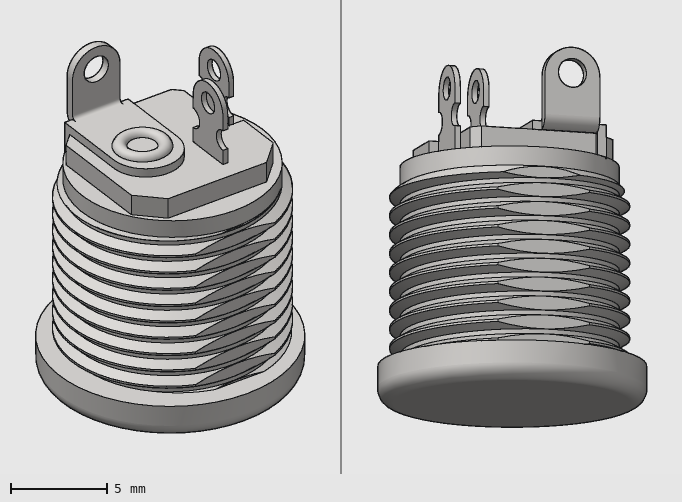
import cadquery as cq
import math

overlap = 0.09

flange_diameter = 14.0
flange_height = 2.0
flange_fillet = 0.78

barrel_y = 0.15
barrel_top = 12.5
core_radius = 5.7
crest_radius = 6.25
flat_half_width = 5.72
thread_length = 9.5
thread_turns = 9.5
thread_top = flange_height + thread_length
pitch = thread_length / thread_turns
crest_width = pitch / 8
ridge_flank_angle = math.radians(30)

block_left = -4.35
block_right = 4.35
block_front = -4.52
block_back = 4.45
block_top = 13.7
block_step_x = 0.27
block_step_y = 3.57
block_large_chamfer = 1.38
block_small_chamfer = 0.47

contact_y = -1.75
pad_left = -4.2
pad_end_x = 0.29
pad_radius = 2.01
pad_top = 14.2
rivet_ring_radius = 1.2
rivet_bead_radius = 0.4
rivet_top = 14.53

bent_lug_thickness = 0.5
bent_lug_width = 3.0
bent_lug_bend_radius = 0.25
bent_lug_top = 18.1
bent_lug_hole_radius = 0.76
bent_lug_hole_z = 16.75

lug_width = 2.72
lug_thickness = 0.3
lug_hole_radius = 0.6
lug_notch_radius = 0.6
lug_top_to_hole = 1.21
lug_top_to_notch = 2.82
inner_lug_x = 1.86
inner_lug_y = 1.25
inner_lug_top = 18.0
rear_lug_x = -1.38
rear_lug_y = 3.87
rear_lug_drop = 0.6
rear_lug_top = inner_lug_top - rear_lug_drop
rear_lug_foot_fillet = 0.16


def make_flange():
    flange = cq.Workplane("XY").circle(flange_diameter / 2).extrude(flange_height)
    return flange.faces("<Z").edges().fillet(flange_fillet)


def make_thread_ridge():
    """Right-handed helical ridge whose crest leaves the flange top on the +Y side."""
    hidden_turns = 1
    start_z = flange_height - hidden_turns * pitch
    turns = math.ceil(thread_turns) + hidden_turns
    root_radius = core_radius - overlap
    crest_half = crest_width / 2
    root_half = crest_half + (crest_radius - root_radius) * math.tan(ridge_flank_angle)
    section = (
        cq.Workplane("XZ")
        .moveTo(root_radius, -root_half)
        .lineTo(crest_radius, -crest_half)
        .lineTo(crest_radius, crest_half)
        .lineTo(root_radius, root_half)
        .close()
    )
    helix = cq.Wire.makeHelix(pitch, turns * pitch, core_radius)
    ridge = section.sweep(cq.Workplane(obj=helix), isFrenet=True)
    return ridge.rotate((0, 0, 0), (0, 0, 1), 90).translate((0, 0, start_z))


def make_barrel():
    """Core cylinder with a thread that runs out in a 45 degree chamfer and has two side flats."""
    base_z = flange_height / 2
    envelope_radius = flange_diameter / 2
    envelope = (
        cq.Workplane("XZ")
        .moveTo(0, base_z)
        .lineTo(envelope_radius, base_z)
        .lineTo(envelope_radius, thread_top - (envelope_radius - core_radius))
        .lineTo(core_radius, thread_top)
        .lineTo(0, thread_top)
        .close()
        .revolve(360, (0, 0, 0), (0, 1, 0))
    )
    flats = cq.Workplane("XY").box(2 * flat_half_width, 2 * flange_diameter, 2 * barrel_top)
    ridge = make_thread_ridge().intersect(envelope).intersect(flats)
    core = cq.Workplane("XY").workplane(offset=base_z).circle(core_radius).extrude(barrel_top - base_z)
    return core.union(ridge).translate((0, barrel_y, 0))


def make_block():
    """Chamfered block with a step cut out of its back left corner."""
    large = block_large_chamfer
    small = block_small_chamfer
    outline = [
        (block_left + large, block_front),
        (block_right - large, block_front),
        (block_right, block_front + large),
        (block_right, block_back - large),
        (block_right - large, block_back),
        (block_step_x, block_back),
        (block_step_x, block_step_y),
        (block_left + small, block_step_y),
        (block_left, block_step_y - small),
        (block_left, block_front + large),
    ]
    base_z = barrel_top - overlap
    return cq.Workplane("XY").workplane(offset=base_z).polyline(outline).close().extrude(block_top - base_z)


def make_pad():
    base_z = barrel_top - overlap
    return (
        cq.Workplane("XY")
        .workplane(offset=base_z)
        .moveTo(pad_left, contact_y - pad_radius)
        .lineTo(pad_end_x, contact_y - pad_radius)
        .threePointArc((pad_end_x + pad_radius, contact_y), (pad_end_x, contact_y + pad_radius))
        .lineTo(pad_left, contact_y + pad_radius)
        .close()
        .extrude(pad_top - base_z)
    )


def make_rivet():
    ring = cq.Solid.makeTorus(rivet_ring_radius, rivet_bead_radius)
    return cq.Workplane(obj=ring).translate((0, contact_y, rivet_top - rivet_bead_radius))


def make_bent_lug():
    """Strip that turns upward out of the pad, with a round top and a hole."""
    outer_x = pad_left - bent_lug_thickness
    bend_x = pad_left + bent_lug_bend_radius
    bend_z = pad_top + bent_lug_bend_radius
    outer_bend = bent_lug_bend_radius + bent_lug_thickness
    diagonal = math.sqrt(0.5)
    strip = (
        cq.Workplane("XZ")
        .moveTo(outer_x, bent_lug_top)
        .lineTo(outer_x, bend_z)
        .threePointArc(
            (bend_x - outer_bend * diagonal, bend_z - outer_bend * diagonal),
            (bend_x, bend_z - outer_bend),
        )
        .lineTo(bend_x, pad_top)
        .threePointArc(
            (bend_x - bent_lug_bend_radius * diagonal, bend_z - bent_lug_bend_radius * diagonal),
            (pad_left, bend_z),
        )
        .lineTo(pad_left, bent_lug_top)
        .close()
        .extrude(bent_lug_width / 2, both=True)
        .translate((0, contact_y, 0))
    )
    half_width = bent_lug_width / 2
    outline = (
        cq.Workplane("YZ", origin=(outer_x, contact_y, 0))
        .moveTo(-half_width, barrel_top)
        .lineTo(half_width, barrel_top)
        .lineTo(half_width, bent_lug_top - half_width)
        .threePointArc((0, bent_lug_top), (-half_width, bent_lug_top - half_width))
        .close()
        .extrude(bend_x - outer_x)
    )
    hole = (
        cq.Workplane("YZ", origin=(outer_x, contact_y, bent_lug_hole_z))
        .circle(bent_lug_hole_radius)
        .extrude(bent_lug_thickness)
    )
    return strip.intersect(outline).cut(hole)


def make_flat_lug(x, y, top):
    """Upright lug with a round top, a hole and a round notch in each side."""
    half_width = lug_width / 2
    base_z = barrel_top - overlap
    lug = (
        cq.Workplane("XZ")
        .moveTo(-half_width, base_z)
        .lineTo(half_width, base_z)
        .lineTo(half_width, top - half_width)
        .threePointArc((0, top), (-half_width, top - half_width))
        .close()
        .extrude(lug_thickness / 2, both=True)
    )
    cutouts = [
        (0, top - lug_top_to_hole, lug_hole_radius),
        (-half_width, top - lug_top_to_notch, lug_notch_radius),
        (half_width, top - lug_top_to_notch, lug_notch_radius),
    ]
    for cut_x, cut_z, radius in cutouts:
        cutter = cq.Workplane("XZ").center(cut_x, cut_z).circle(radius).extrude(lug_thickness, both=True)
        lug = lug.cut(cutter)
    return lug.translate((x, y, 0))


def make_foot_fillets():
    """Concave fillets where the two narrow sides of the rear lug meet the barrel top."""
    radius = rear_lug_foot_fillet
    half_width = lug_width / 2
    base_z = barrel_top - overlap
    foot = cq.Workplane("XZ", origin=(rear_lug_x, rear_lug_y, 0))
    foot = (
        foot.moveTo(-half_width - radius, base_z)
        .lineTo(half_width + radius, base_z)
        .lineTo(half_width + radius, barrel_top)
        .radiusArc((half_width, barrel_top + radius), radius)
        .lineTo(-half_width, barrel_top + radius)
        .radiusArc((-half_width - radius, barrel_top), radius)
        .close()
    )
    return foot.extrude(lug_thickness / 2, both=True)


result = make_flange()
for feature in (
    make_barrel(),
    make_block(),
    make_pad(),
    make_rivet(),
    make_bent_lug(),
    make_flat_lug(inner_lug_x, inner_lug_y, inner_lug_top),
    make_flat_lug(rear_lug_x, rear_lug_y, rear_lug_top),
    make_foot_fillets(),
):
    result = result.union(feature)
result = result.solids()